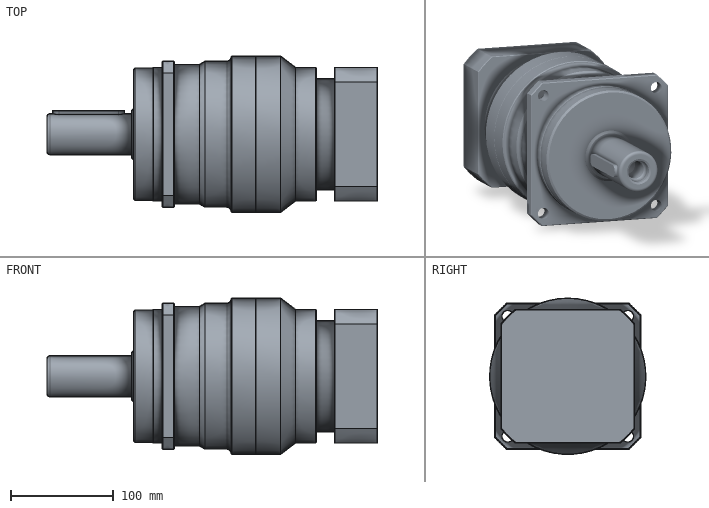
import cadquery as cq
import math


collar_start = 82.0
housing_start = 84.0
pilot_end = 103.0
flange_front = 111.9
flange_back = 124.0
taper_start = 148.5
taper_end = 153.8
ring_front = 178.8
joint = 203.0
cone_start = 227.0
cone_end = 241.5
neck_start = 261.9
block_start = 279.2
overall_length = 321.3

shaft_radius = 20.0
shaft_tip_fillet = 3.0
collar_radius = 25.0
collar_chamfer_length = 1.9
collar_chamfer_drop = 2.4

centre_mouth_radius = 12.5
centre_mouth_angle = 120.0
centre_recess_radius = 10.7
centre_recess_depth = 7.5
centre_cone_angle = 60.0
centre_bore_radius = 8.75
centre_bore_depth = 35.0
drill_point_angle = 118.0

key_start = 5.5
key_length = 70.0
key_width = 12.0
key_height = 8.0
key_top = 23.0

pilot_radius = 64.5
pilot_chamfer = 1.8
shoulder_radius = 65.0
front_barrel_radius = 68.0
rear_barrel_radius = 71.0
ring_fillet = 4.0
ring_radius = 76.0
ring_edge_chamfer = 0.8
joint_chamfer = 0.4
flange_size = 142.0
flange_corner_chamfer = 11.5
flange_edge_chamfer = 0.8
mount_hole_diameter = 11.0
mount_bolt_circle = 165.0

adapter_radius = 65.0
adapter_edge_chamfer = 0.8
neck_radius = 54.0
block_size = 130.0
block_corner_diameter = 165.0
block_edge_chamfer = 0.6


def revolve_about_x(profile):
    """Turn a closed (x, radius) profile drawn in the XZ plane around the X axis."""
    return profile.close().revolve(360, (0, 0, 0), (1, 0, 0))


def cone_length(radius_change, full_angle):
    """Axial length of a cone that changes radius by the given amount."""
    return radius_change / math.tan(math.radians(full_angle / 2))


def make_centre_hole():
    """Cutter for the centre hole: countersink, recess, centring cone and blind bore with its drill point."""
    countersink_depth = cone_length(centre_mouth_radius - centre_recess_radius, centre_mouth_angle)
    cone_depth = centre_recess_depth + cone_length(centre_recess_radius - centre_bore_radius, centre_cone_angle)
    tip_depth = centre_bore_depth + cone_length(centre_bore_radius, drill_point_angle)
    profile = (
        cq.Workplane("XZ")
        .lineTo(0, centre_mouth_radius)
        .lineTo(countersink_depth, centre_recess_radius)
        .lineTo(centre_recess_depth, centre_recess_radius)
        .lineTo(cone_depth, centre_bore_radius)
        .lineTo(centre_bore_depth, centre_bore_radius)
        .lineTo(tip_depth, 0)
    )
    return revolve_about_x(profile)


def make_key():
    """Round-ended key, standing along Y out of its seat in the shaft."""
    return (
        cq.Workplane("XZ", origin=(key_start + key_length / 2, key_top, 0))
        .slot2D(key_length, key_width)
        .extrude(key_height)
    )


def make_shaft():
    """Output shaft with its collar, centre hole and keyway."""
    shaft = cq.Workplane("YZ").circle(shaft_radius).extrude(collar_start)
    shaft = shaft.faces("<X").edges().fillet(shaft_tip_fillet)
    collar = (
        cq.Workplane("YZ", origin=(collar_start, 0, 0))
        .circle(collar_radius)
        .extrude(housing_start - collar_start)
        .faces("<X")
        .edges()
        .chamfer(collar_chamfer_length, collar_chamfer_drop)
    )
    return shaft.union(collar).cut(make_centre_hole()).cut(make_key())


def make_flange():
    """Square mounting flange with cut corners, broken edges and four bolt holes."""
    return (
        cq.Workplane("YZ", origin=(flange_front, 0, 0))
        .rect(flange_size, flange_size)
        .extrude(flange_back - flange_front)
        .edges("|X")
        .chamfer(flange_corner_chamfer)
        .faces("<X or >X")
        .edges()
        .chamfer(flange_edge_chamfer)
        .faces("<X")
        .workplane(origin=(flange_front, 0, 0))
        .polarArray(mount_bolt_circle / 2, 45, 360, 4)
        .hole(mount_hole_diameter)
    )


def make_housing():
    """Front housing: pilot, flange, stepped barrel and the front half of the ring."""
    fillet_start = ring_front - ring_fillet
    fillet_middle = ring_fillet * math.sqrt(0.5)
    profile = (
        cq.Workplane("XZ")
        .moveTo(housing_start, 0)
        .lineTo(housing_start, pilot_radius - pilot_chamfer)
        .lineTo(housing_start + pilot_chamfer, pilot_radius)
        .lineTo(pilot_end, pilot_radius)
        .lineTo(pilot_end + shoulder_radius - pilot_radius, shoulder_radius)
        .lineTo(flange_front, shoulder_radius)
        .lineTo(flange_front, front_barrel_radius)
        .lineTo(taper_start, front_barrel_radius)
        .lineTo(taper_end, rear_barrel_radius)
        .lineTo(fillet_start, rear_barrel_radius)
        .threePointArc(
            (fillet_start + fillet_middle, rear_barrel_radius + ring_fillet - fillet_middle),
            (ring_front, rear_barrel_radius + ring_fillet),
        )
        .lineTo(ring_front, ring_radius - ring_edge_chamfer)
        .lineTo(ring_front + ring_edge_chamfer, ring_radius)
        .lineTo(joint - joint_chamfer, ring_radius)
        .lineTo(joint, ring_radius - joint_chamfer)
        .lineTo(joint, 0)
    )
    return revolve_about_x(profile).union(make_flange())


def make_adapter_block():
    """Square motor block whose corners are turned to a circle, with broken end edges."""
    block_length = overall_length - block_start
    end_plane = cq.Workplane("YZ", origin=(block_start, 0, 0))
    square = end_plane.rect(block_size, block_size).extrude(block_length)
    turned = end_plane.circle(block_corner_diameter / 2).extrude(block_length)
    return square.intersect(turned).faces("<X or >X").edges().chamfer(block_edge_chamfer)


def make_adapter():
    """Motor adapter: rear half of the ring, cone, neck and square block."""
    profile = (
        cq.Workplane("XZ")
        .moveTo(joint, 0)
        .lineTo(joint, ring_radius - joint_chamfer)
        .lineTo(joint + joint_chamfer, ring_radius)
        .lineTo(cone_start, ring_radius)
        .lineTo(cone_end, adapter_radius)
        .lineTo(neck_start - adapter_edge_chamfer, adapter_radius)
        .lineTo(neck_start, adapter_radius - adapter_edge_chamfer)
        .lineTo(neck_start, neck_radius)
        .lineTo(block_start, neck_radius)
        .lineTo(block_start, 0)
    )
    return revolve_about_x(profile).union(make_adapter_block())


shaft = make_shaft()
key = make_key()
housing = make_housing()
adapter = make_adapter()

result = cq.Compound.makeCompound([shaft.val(), key.val(), housing.val(), adapter.val()])